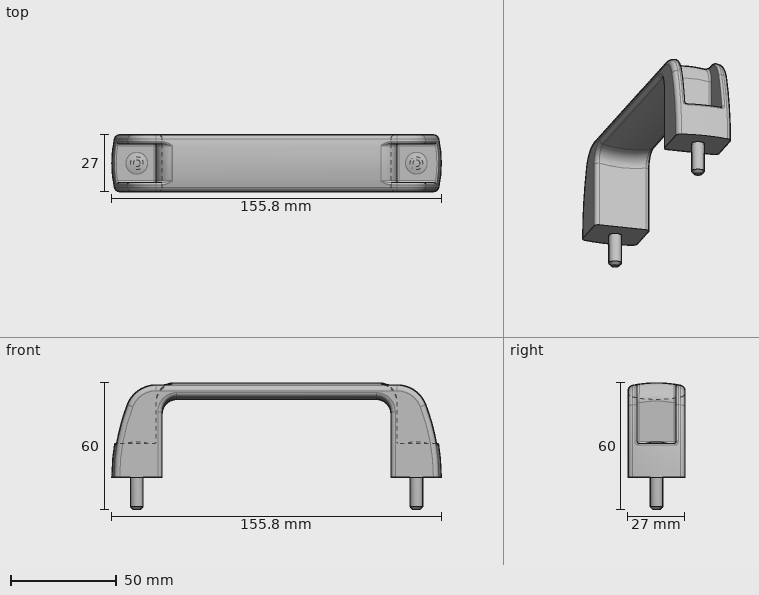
import cadquery as cq
import math

length = 155.8
width = 27.0
height = 44.7

leg_arc_radius = 96.6
shoulder_radius = 15.6
crown_radius = 54.5
outer_round = 2.6
rim_depth = 6.2
layer_overlap = 1.5

opening_length = 108.1
grip_thickness = 8.0
opening_corner_radius = 6.9
opening_round = 2.0

pocket_floor = 16.0
pocket_width = 18.4
pocket_wall_x = 56.9
flare_radius = 8.7
flare_rise = 0.08
pocket_round = 1.0

screw_x = 66.0
dome_diameter = 10.3
dome_height = 0.8
pin_diameter = 6.0
pin_length = 15.3
pin_chamfer = 1.4


def on_circle(center, radius, angle):
    return (center[0] + radius * math.cos(angle), center[1] + radius * math.sin(angle))


def outline(inset):
    """Open outline from foot to foot in XZ, set inwards by the given distance."""
    leg_radius = leg_arc_radius - inset
    corner_radius = shoulder_radius - inset
    leg_center = (leg_arc_radius - length / 2, 0)
    corner_z = height - shoulder_radius
    tilt = math.asin(corner_z / (leg_arc_radius - shoulder_radius))
    reach = (leg_arc_radius - shoulder_radius) * math.cos(tilt)
    corner_center = (leg_center[0] - reach, corner_z)

    foot = on_circle(leg_center, leg_radius, math.pi)
    leg_middle = on_circle(leg_center, leg_radius, math.pi - tilt / 2)
    joint = on_circle(leg_center, leg_radius, math.pi - tilt)
    corner_middle = on_circle(corner_center, corner_radius, (math.pi * 3 / 2 - tilt) / 2)
    top = on_circle(corner_center, corner_radius, math.pi / 2)

    def mirrored(point):
        return (-point[0], point[1])

    return (
        cq.Workplane("XZ")
        .moveTo(*foot)
        .threePointArc(leg_middle, joint)
        .threePointArc(corner_middle, top)
        .lineTo(*mirrored(top))
        .threePointArc(mirrored(corner_middle), mirrored(joint))
        .threePointArc(mirrored(leg_middle), mirrored(foot))
    )


def crowned_section():
    """Foot section of the outer layer: crowned face blended into flat sides."""
    side = width / 2
    crest_x = -length / 2
    crown_x = crest_x + crown_radius
    blend = math.asin((side - outer_round) / (crown_radius - outer_round))
    round_x = crown_x - (crown_radius - outer_round) * math.cos(blend)
    round_y = side - outer_round
    half_turn = (math.pi / 2 + blend) / 2

    crown_end = (crown_x - crown_radius * math.cos(blend), crown_radius * math.sin(blend))
    round_middle = (round_x - outer_round * math.cos(half_turn),
                    round_y + outer_round * math.sin(half_turn))
    return (
        cq.Workplane("XY")
        .moveTo(crown_end[0], -crown_end[1])
        .threePointArc((crest_x, 0), crown_end)
        .threePointArc(round_middle, (round_x, side))
        .lineTo(crest_x + rim_depth, side)
        .lineTo(crest_x + rim_depth, -side)
        .lineTo(round_x, -side)
        .threePointArc((round_middle[0], -round_middle[1]), (crown_end[0], -crown_end[1]))
        .close()
    )


def arch_blank():
    """Arch without its opening: swept crowned layer around a flat-sided core."""
    layer = crowned_section().sweep(outline(0))
    core = outline(rim_depth - layer_overlap).close().extrude(width / 2, both=True)
    return core.union(layer).clean()


def hand_opening():
    """Opening with upright ends and a top that bulges down along the middle."""
    crest_z = height - grip_thickness
    side = width / 2
    side_z = crest_z + crown_radius - math.sqrt(crown_radius**2 - side**2)
    block = (
        cq.Workplane("YZ")
        .moveTo(-side, 0)
        .lineTo(-side, side_z)
        .threePointArc((0, crest_z), (side, side_z))
        .lineTo(side, 0)
        .close()
        .extrude(opening_length / 2, both=True)
    )
    return block.edges("%CIRCLE").fillet(opening_corner_radius)


def round_opening_rims(body):
    """Round the edges where the opening meets the two flat sides."""
    end_x = opening_length / 2 + opening_round
    top_z = height - grip_thickness + opening_round
    for side_y in (-width / 2, width / 2):
        rim = cq.selectors.BoxSelector(
            (-end_x, side_y - opening_round, opening_round),
            (end_x, side_y + opening_round, top_z),
        )
        body = body.edges(rim).fillet(opening_round)
    return body


def pocket():
    """Left screw pocket, open to the outside and to the top, with rounded inner corners."""
    wall_x = -pocket_wall_x
    outside = -length
    above = height + flare_radius
    crown_axis_z = height - crown_radius
    center_x = wall_x + flare_radius
    center_z = height - flare_radius + flare_rise
    diagonal = flare_radius * math.sqrt(0.5)
    flared_space = (
        cq.Workplane("XZ")
        .moveTo(outside, crown_axis_z)
        .lineTo(wall_x, crown_axis_z)
        .lineTo(wall_x, center_z)
        .threePointArc((center_x - diagonal, center_z + diagonal),
                       (center_x, center_z + flare_radius))
        .lineTo(center_x, above)
        .lineTo(outside, above)
        .close()
        .revolve(360, (0, crown_axis_z, 0), (1, crown_axis_z, 0))
    )
    slot = cq.Workplane("XY", origin=(outside, 0, pocket_floor)).box(
        length, pocket_width, above - pocket_floor, centered=(False, True, False))
    inner_corners = cq.selectors.BoxSelector(
        (outside + pocket_round, -width, 0), (0, width, height - pocket_round))
    return slot.intersect(flared_space).edges(inner_corners).fillet(pocket_round)


def round_pocket_rim(body, side):
    """Round the pocket rim; the fillet runs on from the outer floor edge around the rim."""
    sill = cq.selectors.BoxSelector(
        (side * (pocket_wall_x + flare_radius), -pocket_round, pocket_floor - pocket_round),
        (side * length, pocket_round, pocket_floor + pocket_round),
    )
    return body.edges(sill).fillet(pocket_round)


def screw(side):
    """Domed head on the pocket floor and a chamfered pin below the foot."""
    dome_radius = ((dome_diameter / 2) ** 2 + dome_height**2) / (2 * dome_height)
    head_bottom = pocket_floor / 2
    head = (
        cq.Workplane("XZ")
        .moveTo(0, head_bottom)
        .lineTo(0, pocket_floor + dome_height)
        .radiusArc((dome_diameter / 2, pocket_floor), dome_radius)
        .lineTo(dome_diameter / 2, head_bottom)
        .close()
        .revolve(360, (0, 0, 0), (0, 1, 0))
    )
    pin = (
        cq.Workplane("XY", origin=(0, 0, -pin_length))
        .circle(pin_diameter / 2)
        .extrude(pin_length + pocket_floor)
        .faces("<Z")
        .chamfer(pin_chamfer)
    )
    return head.union(pin).translate((side * screw_x, 0, 0))


handle = round_opening_rims(arch_blank().cut(hand_opening()))
left_pocket = pocket()
handle = handle.cut(left_pocket).cut(left_pocket.mirror("YZ"))
for end in (-1, 1):
    handle = round_pocket_rim(handle, end).union(screw(end))

result = handle